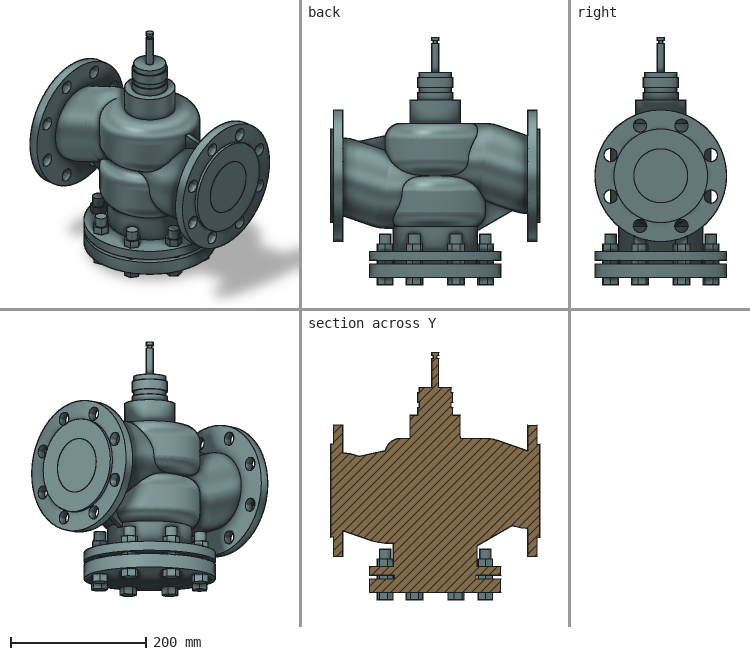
import cadquery as cq


length = 310.0
height = 366.5
axis_z = 161.5

flange_radius = 97.5
bolt_circle_radius = 80.3
bolt_count = 8
first_bolt_angle = 180 / bolt_count

pipe_flange_thickness = 14.0
flange_hole_diameter = 19.5
face_radius = 69.3
face_height = 4.5
port_radius = 40.0
port_depth = 0.5

chamber_radius = 74.5
chamber_height = 77.7
chamber_round = 23.5

pipe_radius = 56.0
pipe_rise = chamber_height - pipe_radius
flange_inner_x = length / 2 - face_height - pipe_flange_thickness
elbow_x = chamber_radius

neck_radius = 62.3
gasket_radius = 61.0
bolt_head_height = 11.0
cover_top = 31.0
base_flange_bottom = 36.3
base_flange_top = 50.0
neck_top = axis_z - chamber_height + chamber_round

hex_diameter = 24.5
hex_twist = 7.5
nut_top = base_flange_top + bolt_head_height
bolt_diameter = 17.2
bolt_top = 75.0

collar_radius = 37.5
collar_top = 273.8
bonnet_radius = 26.0
bonnet_groove_radius = 24.0
bonnet_groove_bottom = 284.8
bonnet_groove_top = 292.5
bonnet_shoulder = 307.0
bonnet_top = 315.0

stem_radius = 5.3
stem_neck_radius = 3.1
stem_neck_bottom = 357.7
stem_head_bottom = 361.7

rib_thickness = 7.7
upper_rib_end = (113.2, 212.5)
upper_rib_start_z = 221.0
lower_rib_end = (-115.0, 110.5)
lower_rib_start_z = 80.3


def disc(radius, bottom, top):
    """Upright cylinder on the stem axis."""
    return cq.Workplane("XY").workplane(offset=bottom).circle(radius).extrude(top - bottom)


def rod(radius, start, end):
    """Cylinder between two points of the XZ plane."""
    direction = cq.Vector(*end) - cq.Vector(*start)
    solid = cq.Solid.makeCylinder(radius, direction.Length, cq.Vector(*start), direction)
    return cq.Workplane(obj=solid)


def ball(radius, centre):
    return cq.Workplane("XY").sphere(radius).translate(centre)


def chamber(bottom):
    """Round chamber with both rims rounded over."""
    solid = disc(chamber_radius, bottom, bottom + chamber_height)
    return solid.edges("%CIRCLE").fillet(chamber_round)


def pipe(side):
    """Offset pipe: straight through the chamber, then sloping to the flange on the axis."""
    centre = (0, 0, axis_z - side * pipe_rise)
    elbow = (side * elbow_x, 0, axis_z - side * pipe_rise)
    flange_end = (side * flange_inner_x, 0, axis_z)
    straight = rod(pipe_radius, centre, elbow)
    sloping = rod(pipe_radius, elbow, flange_end)
    bent = straight.union(sloping).union(ball(pipe_radius, elbow)).union(ball(pipe_radius, flange_end))
    pipe_limits = cq.Workplane("XY").box(2 * flange_inner_x + pipe_flange_thickness, height, 2 * height)
    return bent.intersect(pipe_limits)


def pipe_flange(side):
    """Drilled flange with a raised face and a shallow circular port recess."""
    outer_x = flange_inner_x + pipe_flange_thickness
    face_x = length / 2

    def across(radius, start, end):
        return rod(radius, (side * start, 0, axis_z), (side * end, 0, axis_z))

    holes = (
        cq.Workplane("YZ", origin=(0, 0, axis_z))
        .polarArray(bolt_circle_radius, first_bolt_angle, 360, bolt_count)
        .circle(flange_hole_diameter / 2)
        .extrude(side * length)
    )
    flange = across(flange_radius, flange_inner_x, outer_x).cut(holes)
    raised_face = across(face_radius, outer_x, face_x)
    return flange.union(raised_face).cut(across(port_radius, face_x - port_depth, face_x))


def base():
    return (
        disc(neck_radius, base_flange_bottom, neck_top)
        .union(disc(flange_radius, base_flange_bottom, base_flange_top))
        .union(disc(gasket_radius, cover_top, base_flange_bottom))
        .union(disc(flange_radius, bolt_head_height, cover_top))
    )


def bolt(angle):
    """Hexagonal head and nut in one length, with the round bolt end above."""
    hexagon = (
        cq.Workplane("XY")
        .polygon(6, hex_diameter)
        .extrude(nut_top)
        .rotate((0, 0, 0), (0, 0, 1), hex_twist)
    )
    shank = disc(bolt_diameter / 2, nut_top, bolt_top)
    return (
        hexagon.union(shank)
        .translate((bolt_circle_radius, 0, 0))
        .rotate((0, 0, 0), (0, 0, 1), angle)
    )


def bonnet_and_stem():
    return (
        disc(collar_radius, axis_z + chamber_height, collar_top)
        .union(disc(bonnet_radius, collar_top, bonnet_groove_bottom))
        .union(disc(bonnet_groove_radius, bonnet_groove_bottom, bonnet_top))
        .union(disc(bonnet_radius, bonnet_groove_top, bonnet_shoulder))
        .union(disc(stem_radius, bonnet_top, stem_neck_bottom))
        .union(disc(stem_neck_radius, stem_neck_bottom, stem_head_bottom))
        .union(disc(stem_radius, stem_head_bottom, height))
    )


def rib(points):
    return cq.Workplane("XZ").polyline(points).close().extrude(rib_thickness / 2, both=True)


upper_rib = rib([(0, upper_rib_start_z), (chamber_radius, upper_rib_start_z), upper_rib_end, (0, axis_z)])
lower_rib = rib([(0, lower_rib_start_z), (-neck_radius, lower_rib_start_z), lower_rib_end, (0, axis_z)])

result = chamber(axis_z).union(chamber(axis_z - chamber_height))
result = result.union(base()).union(bonnet_and_stem())
for side in (-1, 1):
    result = result.union(pipe(side)).union(pipe_flange(side))
result = result.union(upper_rib).union(lower_rib)
for index in range(bolt_count):
    result = result.union(bolt(first_bolt_angle + index * 360 / bolt_count))